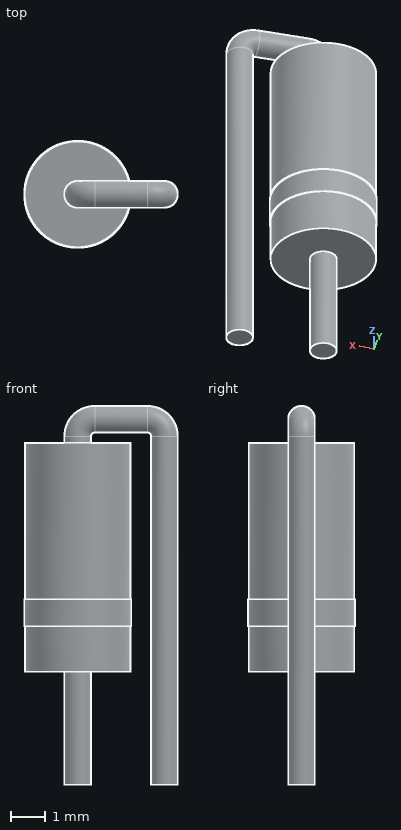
import cadquery as cq

height = 11.12

lead_diameter = 0.79
lead_spacing = 2.55
bend_radius = 0.5

body_diameter = 3.1
body_bottom = 3.31
body_length = 6.72
body_top = body_bottom + body_length

band_diameter = 3.15
band_bottom = 4.65
band_width = 0.8


def cylinder(diameter, bottom, length):
    """Upright cylinder on the body axis."""
    return cq.Workplane("XY").workplane(offset=bottom).circle(diameter / 2).extrude(length)


def bent_lead():
    """Lead that leaves the body top, turns over and runs down beside the body."""
    crossing_height = height - lead_diameter / 2
    bend_start = crossing_height - bend_radius
    centreline = (
        cq.Workplane("XZ")
        .moveTo(0, body_top)
        .lineTo(0, bend_start)
        .radiusArc((bend_radius, crossing_height), bend_radius)
        .lineTo(lead_spacing - bend_radius, crossing_height)
        .radiusArc((lead_spacing, bend_start), bend_radius)
        .lineTo(lead_spacing, 0)
    )
    section = cq.Workplane("XY").workplane(offset=body_top).circle(lead_diameter / 2)
    return section.sweep(centreline)


body = cylinder(body_diameter, body_bottom, body_length)
band = cylinder(band_diameter, band_bottom, band_width)
straight_lead = cylinder(lead_diameter, 0, body_bottom)

result = body.union(band).union(straight_lead).union(bent_lead())